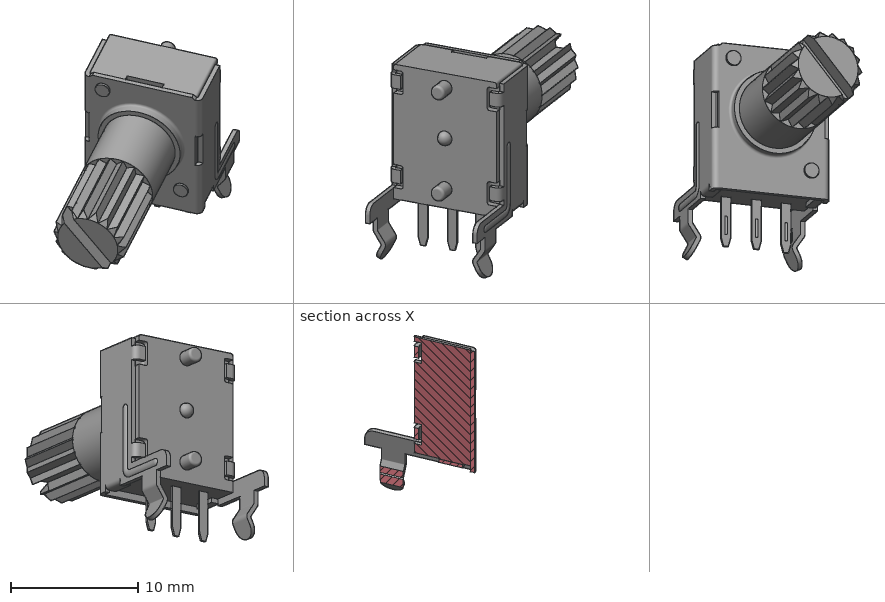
import cadquery as cq
import math


sheet = 0.38
half_width = 4.88
bend_radius = 0.47
cover_top = 5.5
side_top = 5.27
cover_bottom = -6.5
side_back = 4.59
inner_half_width = half_width - sheet
lip_half_top = 4.14

collar_diameter = 6.8
collar_radius = collar_diameter / 2
collar_length = 0.75
collar_fillet = 0.2

foot_back = 9.4
foot_top = -5.02
foot_corner_radius = 0.8

window_half_height = 1.5

tab_reach = 1.0
bottom_tab_front = 1.02
bottom_tab_length = 2.01
crimp_low = 3.44
crimp_high = 4.59
relief_low = 3.03
relief_high = 5.0
pocket_front = 4.52
pocket_floor_radius = 0.2

leg_width = 2.0
leg_mid_y = 7.0
leg_path = [
    (sheet / 2 - half_width, cover_bottom),
    (sheet / 2 - half_width, -7.65),
    (-3.95, -8.72),
    (-4.7, -10.22),
]

rib_width = 0.6
rib_height = 0.11
rib_y = 3.73
rib_z = -5.83
rib_bend = 0.59
rib_top = 0.0
rib_back = 8.15

housing_back = 5.1
housing_bottom = -5.95
housing_top_fillet = 0.2
inner_bend = bend_radius - sheet
stud_diameter = 1.2
post_z = 4.3
post_end = 6.5
post_edge_radius = 0.2
rivet_x = 3.25
rivet_height = 0.2
notch_width = 3.05
notch_back = 0.81
notch_depth = 0.4

shaft_diameter = 6.0
shaft_radius = shaft_diameter / 2
shaft_tip = -13.2
knurl_start = -6.2
tooth_count = 18
tooth_root = 2.49
tip_chamfer = shaft_radius - tooth_root
slot_width = 1.0
slot_depth = 1.6
slot_angle = 130

pin_pitch = 2.5
pin_width = 0.8
pin_thickness = 0.2
outer_pin_front = 3.75
middle_pin_front = 3.62
pin_top = -4.52
pin_bottom = -10.0
pin_taper_start = -9.3
pin_tip_width = 0.4
groove_radius = 0.102
groove_top = -7.5
groove_bottom = -9.05
pin_positions = [
    (-pin_pitch, outer_pin_front),
    (0, middle_pin_front),
    (pin_pitch, outer_pin_front),
]


def box_between(x0, x1, y0, y1, z0, z1):
    """Box spanning the given limits."""
    return cq.Workplane("XY").box(x1 - x0, y1 - y0, z1 - z0, centered=False).translate((x0, y0, z0))


def rod(radius, y0, y1, x=0, z=0):
    """Round rod parallel to Y, from y0 to y1."""
    return cq.Workplane("XZ", origin=(x, y0, z)).circle(radius).extrude(y0 - y1)


def with_mirror_x(shape):
    """The shape together with its mirror image across x = 0."""
    return shape.union(shape.mirror("YZ"))



def cover_channel():
    """Front plate and two side plates with rear feet, bent as one U-shaped sheet."""
    outer = box_between(-half_width, half_width, 0, foot_back, cover_bottom, side_top)
    outer = outer.edges("|Z and <Y").fillet(bend_radius)
    inner = box_between(-inner_half_width, inner_half_width, sheet, foot_back, cover_bottom, side_top)
    inner = inner.edges("|Z and <Y").fillet(inner_bend)
    side_outline = (
        cq.Workplane("YZ", origin=(-half_width, 0, 0))
        .moveTo(0, cover_bottom)
        .lineTo(foot_back, cover_bottom)
        .lineTo(foot_back, foot_top - foot_corner_radius)
        .radiusArc((foot_back - foot_corner_radius, foot_top), -foot_corner_radius)
        .lineTo(side_back, foot_top)
        .lineTo(side_back, side_top)
        .lineTo(0, side_top)
        .close()
        .extrude(2 * half_width)
    )
    return outer.intersect(side_outline).cut(inner)


def front_lip():
    """Upper edge of the front plate, standing above the side plates, with chamfered corners."""
    lip_half_base = half_width - bend_radius
    return (
        cq.Workplane("XZ")
        .polyline([
            (-lip_half_base, side_top),
            (lip_half_base, side_top),
            (lip_half_top, cover_top),
            (-lip_half_top, cover_top),
        ])
        .close()
        .extrude(-sheet)
    )


def collar():
    """Drawn collar around the shaft, blended into the front plate."""
    return (
        cq.Workplane("XY")
        .moveTo(0, sheet)
        .lineTo(collar_radius + collar_fillet, sheet)
        .lineTo(collar_radius + collar_fillet, 0)
        .radiusArc((collar_radius, -collar_fillet), -collar_fillet)
        .lineTo(collar_radius, -collar_length)
        .lineTo(0, -collar_length)
        .close()
        .revolve(360, (0, 0, 0), (0, 1, 0))
    )


def bend_window():
    """Cutter for the opening in the -X front bend."""
    return box_between(
        -half_width, bend_radius - half_width, 0, bend_radius, -window_half_height, window_half_height
    )


def bottom_tab_space():
    """Cutter clearing the lower edge of the -X side plate where the bottom tab is folded."""
    return box_between(
        -half_width, -inner_half_width,
        bottom_tab_front, bottom_tab_front + bottom_tab_length,
        cover_bottom, housing_bottom,
    )


def bottom_tab():
    """Tab folded from the -X side plate under the housing."""
    return (
        cq.Workplane("XZ", origin=(0, bottom_tab_front, 0))
        .moveTo(-half_width, housing_bottom)
        .radiusArc((-inner_half_width, housing_bottom - sheet), -sheet)
        .lineTo(tab_reach - half_width, housing_bottom - sheet)
        .lineTo(tab_reach - half_width, housing_bottom)
        .close()
        .extrude(-bottom_tab_length)
    )


def crimp_tab(z_low):
    """Tab folded from the -X side plate behind the housing, starting at height z_low."""
    bend_start = housing_back - bend_radius
    return (
        cq.Workplane("XY", origin=(0, 0, z_low))
        .moveTo(-half_width, bend_start)
        .radiusArc((bend_radius - half_width, housing_back), bend_radius)
        .lineTo(tab_reach - half_width, housing_back)
        .lineTo(tab_reach - half_width, housing_back - sheet)
        .lineTo(-inner_half_width, housing_back - sheet)
        .lineTo(-inner_half_width, side_back - sheet)
        .lineTo(-half_width, side_back - sheet)
        .close()
        .extrude(crimp_high - crimp_low)
    )


def offset_leg_path(offset):
    """Leg centre line moved sideways by offset, to the left of its running direction."""
    headings = []
    for start, end in zip(leg_path, leg_path[1:]):
        headings.append(math.atan2(end[1] - start[1], end[0] - start[0]))
    moved = []
    for i, (x, z) in enumerate(leg_path):
        heading_in = headings[max(i - 1, 0)]
        heading_out = headings[min(i, len(headings) - 1)]
        side_angle = (heading_in + heading_out + math.pi) / 2
        reach = offset / math.cos((heading_out - heading_in) / 2)
        moved.append((x + reach * math.cos(side_angle), z + reach * math.sin(side_angle)))
    return moved


def leg_tip_waste():
    """Cutter that leaves a full round at the end of the -X leg."""
    start, end = leg_path[-2:]
    dx = end[0] - start[0]
    dz = end[1] - start[1]
    half = leg_width / 2
    tip_plane = cq.Plane(origin=(end[0], leg_mid_y, end[1]), xDir=(0, 1, 0), normal=(dz, 0, -dx))
    return (
        cq.Workplane(tip_plane)
        .moveTo(-half, -half)
        .threePointArc((0, 0), (half, -half))
        .lineTo(half, sheet)
        .lineTo(-half, sheet)
        .close()
        .extrude(sheet, both=True)
    )


def mounting_leg():
    """Kinked snap-in leg under the -X foot, with rounded bends and a round end."""
    inward_side = offset_leg_path(sheet / 2)
    outward_side = offset_leg_path(-sheet / 2)
    leg = (
        cq.Workplane("XZ", origin=(0, leg_mid_y - leg_width / 2, 0))
        .polyline(inward_side + outward_side[::-1])
        .close()
        .extrude(-leg_width)
    )
    upper_bend, knee = 1, 2
    bends = [
        (inward_side[upper_bend], inner_bend),
        (outward_side[upper_bend], bend_radius),
        (inward_side[knee], bend_radius),
        (outward_side[knee], inner_bend),
    ]
    for (x, z), radius in bends:
        corner_edge = leg.edges("|Y").edges(cq.NearestToPointSelector((x, leg_mid_y, z)))
        leg = corner_edge.fillet(radius)
    return leg.cut(leg_tip_waste())


def stiffening_rib():
    """Shallow L-shaped bead on the outside of the -X side plate."""
    half = rib_width / 2
    cap_radius = rib_height / 2 + half ** 2 / (2 * rib_height)
    upright_end = rib_top - half
    level_end = rib_back - half
    path = (
        cq.Workplane("YZ", origin=(-half_width, 0, 0))
        .moveTo(rib_y, upright_end)
        .lineTo(rib_y, rib_z + rib_bend)
        .radiusArc((rib_y + rib_bend, rib_z), -rib_bend)
        .lineTo(level_end, rib_z)
    )
    bead = (
        cq.Workplane("XY", origin=(-half_width, rib_y, upright_end))
        .moveTo(0, -half)
        .threePointArc((-rib_height, 0), (0, half))
        .close()
        .sweep(path)
    )
    outside = box_between(-half_width - cap_radius, -half_width, 0, foot_back, cover_bottom, side_top)
    for y, z in [(rib_y, upright_end), (level_end, rib_z)]:
        ball = cq.Workplane("XY").sphere(cap_radius)
        bead = bead.union(ball.translate((cap_radius - rib_height - half_width, y, z)).intersect(outside))
    return bead


def make_cover():
    cover = cover_channel().union(front_lip()).union(collar())
    cover = cover.cut(rod(shaft_radius, -collar_length, sheet))
    for side in (-1, 1):
        cover = cover.cut(rod(stud_diameter / 2, 0, sheet, side * rivet_x, -side * post_z))
    cover = cover.cut(with_mirror_x(bend_window()))
    cover = cover.cut(with_mirror_x(bottom_tab_space()))
    for piece in (
        bottom_tab(), crimp_tab(crimp_low), crimp_tab(-crimp_high), mounting_leg(), stiffening_rib()
    ):
        cover = cover.union(piece).union(piece.mirror("YZ"))
    return cover



def housing_block():
    """Moulded block filling the cover, rounded along its top and front edges."""
    block = box_between(
        -inner_half_width, inner_half_width, sheet, housing_back, housing_bottom, cover_top
    )
    block = block.edges("|Y and >Z").fillet(housing_top_fillet)
    front_edges = block.faces("<Y").edges("not <Z")
    return front_edges.fillet(inner_bend)


def crimp_pocket(z_low):
    """Cutter for the pocket that takes a -X crimp tab, with rounded floor edges, starting at z_low."""
    floor_x = tab_reach + pocket_floor_radius - half_width
    pocket = box_between(
        -inner_half_width, floor_x,
        pocket_front, housing_back,
        z_low, z_low + relief_high - relief_low,
    )
    return pocket.faces(">X").edges("not >Y").fillet(pocket_floor_radius)


def make_housing():
    stud_radius = stud_diameter / 2
    housing = housing_block()
    housing = housing.cut(box_between(
        -notch_width / 2, notch_width / 2, sheet, notch_back, cover_top - notch_depth, cover_top
    ))
    for z_low in (relief_low, -relief_high):
        housing = housing.cut(with_mirror_x(crimp_pocket(z_low)))
    for side in (-1, 1):
        post = rod(stud_radius, housing_back, post_end).edges(">Y").fillet(post_edge_radius)
        housing = housing.union(post.translate((0, 0, side * post_z)))
        housing = housing.union(rod(stud_radius, -rivet_height, sheet, side * rivet_x, -side * post_z))
    dome = cq.Workplane("XY").sphere(stud_radius).translate((0, housing_back, 0))
    housing = housing.union(dome)
    for x, y_front in pin_positions:
        housing = housing.cut(box_between(
            x - pin_width / 2, x + pin_width / 2,
            y_front, y_front + pin_thickness,
            housing_bottom, pin_top,
        ))
    return housing



def knurled_end():
    """Length of the shaft with sharp V-shaped teeth."""
    points = []
    for i in range(2 * tooth_count):
        radius = shaft_radius if i % 2 == 0 else tooth_root
        angle = math.pi * i / tooth_count
        points.append((radius * math.cos(angle), radius * math.sin(angle)))
    return (
        cq.Workplane("XZ", origin=(0, knurl_start, 0))
        .polyline(points)
        .close()
        .extrude(knurl_start - shaft_tip)
    )


def make_shaft():
    envelope = rod(shaft_radius, shaft_tip, sheet).faces("<Y").chamfer(tip_chamfer)
    knurl = knurled_end().intersect(envelope)
    slot = box_between(
        -shaft_radius, shaft_radius, shaft_tip, shaft_tip + slot_depth, -slot_width / 2, slot_width / 2
    )
    slot = slot.rotate((0, 0, 0), (0, 1, 0), -slot_angle)
    return rod(shaft_radius, knurl_start, sheet).union(knurl).cut(slot)



def make_pin(x, y_front):
    """Flat terminal with a tapered end and a round-ended, round-bottomed groove in its front face."""
    half = pin_width / 2
    half_tip = pin_tip_width / 2
    pin = (
        cq.Workplane("XZ", origin=(x, y_front, 0))
        .polyline([
            (-half, pin_top),
            (half, pin_top),
            (half, pin_taper_start),
            (half_tip, pin_bottom),
            (-half_tip, pin_bottom),
            (-half, pin_taper_start),
        ])
        .close()
        .extrude(-pin_thickness)
    )
    low_end = groove_bottom + groove_radius
    high_end = groove_top - groove_radius
    groove = (
        cq.Workplane("XY", origin=(x, y_front, low_end))
        .circle(groove_radius)
        .extrude(high_end - low_end)
    )
    for z in (low_end, high_end):
        groove = groove.union(cq.Workplane("XY").sphere(groove_radius).translate((x, y_front, z)))
    return pin.cut(groove)


cover = make_cover()
housing = make_housing()
shaft = make_shaft()
pins = [make_pin(x, y_front) for x, y_front in pin_positions]

result = cq.Compound.makeCompound(
    [cover.val(), housing.val(), shaft.val()] + [pin.val() for pin in pins]
)